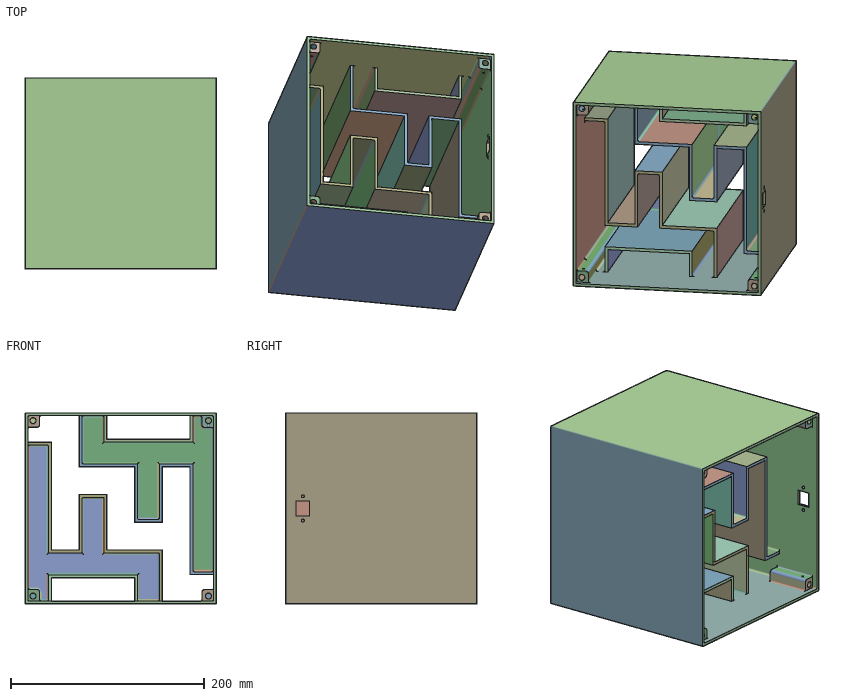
import cadquery as cq

side = 198.0
half_side = side / 2
wall = 3.0
half_inside = half_side - wall
edge_round = 1.0
room_round = 1.48
pocket_round = 2.0
front_y = -half_side
back_y = half_side

partition_y = front_y + 49.0
floor_y = back_y - wall
grid = 28.7
block_half_width = 14.5
long_branch_end = 68.7

post_size = 12.0
post_round = 3.0
post_y = front_y + 6.0
post_end_y = partition_y + wall
screw_diameter = 6.1
screw_inset = 5.1
screw_depth = 19.8
cross_diameter = 2.0
cross_y = post_y + 8.7

socket_y = front_y + 17.8
socket_width = 13.9
socket_height = 15.8
socket_screw_diameter = 3.0
socket_screw_spacing = 25.1

inside = (-half_inside, half_inside)
signs = (-1, 1)
probe_distance = 0.2


def box(x_range, y_range, z_range):
    """Box spanning the given (low, high) ranges."""
    (x0, x1), (y0, y1), (z0, z1) = x_range, y_range, z_range
    return cq.Workplane("XY").box(x1 - x0, y1 - y0, z1 - z0, centered=False).translate((x0, y0, z0))


def half_turn(shape):
    """Copy of a shape turned 180 degrees about the Y axis."""
    return shape.rotate((0, 0, 0), (0, 1, 0), 180)


def corner_posts(y_range):
    """Four square posts in the shell corners, each rounded on its free edge."""
    centre = half_inside - post_size / 2
    half_size = post_size / 2
    posts = cq.Workplane("XY")
    for x_sign in signs:
        for z_sign in signs:
            post = box((-half_size, half_size), y_range, (-half_size, half_size))
            free_face = "<X" if x_sign > 0 else ">X"
            free_edge = "<Z" if z_sign > 0 else ">Z"
            post = post.faces(free_face).edges(free_edge).fillet(post_round)
            posts = posts.add(post.translate((x_sign * centre, 0, z_sign * centre)))
    return posts.combine()


def outward_corners(space):
    """Edges along Y where the space has an outward corner, so the walls around it a concave one."""
    solid = space.val()

    def is_outward(edge):
        middle = edge.Center()
        probes = [middle + cq.Vector(x * probe_distance, 0, z * probe_distance) for x in signs for z in signs]
        return sum(solid.isInside(point) for point in probes) == 1

    return space.edges("|Y").filter(is_outward)


def room(y_range):
    """Inside of the shell around the four posts, with rounded corners."""
    return outward_corners(box(inside, y_range, inside).cut(corner_posts(y_range))).fillet(room_round)


def plain_room(y_range, corner_round):
    """Inside of the shell without posts, with rounded corners."""
    return box(inside, y_range, inside).edges("|Y").fillet(corner_round)


def branched_block(inset, rear_y):
    """Lower-left branched block, with its free sides moved inward by an inset."""
    reach = block_half_width - inset
    depth = (partition_y, rear_y)
    low = -half_inside
    bar_z = -2 * grid
    long_branch = box((low, -3 * grid + reach), depth, (low, long_branch_end - inset))
    bar = box((low, grid + reach), depth, (bar_z - reach, bar_z + reach))
    stem = box((-grid - reach, -grid + reach), depth, (bar_z, reach))
    foot = box((grid - reach, grid + reach), depth, (low, bar_z))
    return long_branch.union(bar).union(stem).union(foot).clean()


def block_pocket():
    """Hollow of the lower-left block around its post, rounded in its corners and along its floor."""
    pocket = branched_block(wall, floor_y).cut(corner_posts((partition_y, floor_y)))
    corners = outward_corners(pocket)
    return corners.add(pocket.faces(">Y").edges()).fillet(pocket_round)


def cylinder(start, direction, length, diameter):
    """Cylinder from a start point along a direction."""
    return cq.Workplane(cq.Solid.makeCylinder(diameter / 2, length, cq.Vector(start), cq.Vector(direction)))


result = cq.Workplane("XY").box(side, side, side).edges("|Y").fillet(edge_round)
result = result.cut(plain_room((front_y, post_y), room_round)).cut(room((post_y, partition_y)))

block = branched_block(0, back_y)
for space in (room((partition_y, post_end_y)), plain_room((post_end_y, back_y), pocket_round)):
    result = result.cut(space.cut(block).cut(half_turn(block)))

pocket = block_pocket()
result = result.cut(pocket).cut(half_turn(pocket))

screw_centre = half_inside - screw_inset
cross_length = post_size - screw_inset
for x_sign in signs:
    for z_sign in signs:
        screw_x = x_sign * screw_centre
        screw_z = z_sign * screw_centre
        screw_hole = cylinder((screw_x, post_y, screw_z), (0, 1, 0), screw_depth, screw_diameter)
        cross_hole = cylinder((screw_x, cross_y, screw_z), (0, 0, -z_sign), cross_length, cross_diameter)
        result = result.cut(screw_hole).cut(cross_hole)

socket_span = (socket_y - socket_width / 2, socket_y + socket_width / 2)
result = result.cut(box((half_inside, half_side), socket_span, (-socket_height / 2, socket_height / 2)))
for sign in signs:
    start = (half_inside, socket_y, sign * socket_screw_spacing / 2)
    result = result.cut(cylinder(start, (1, 0, 0), wall, socket_screw_diameter))